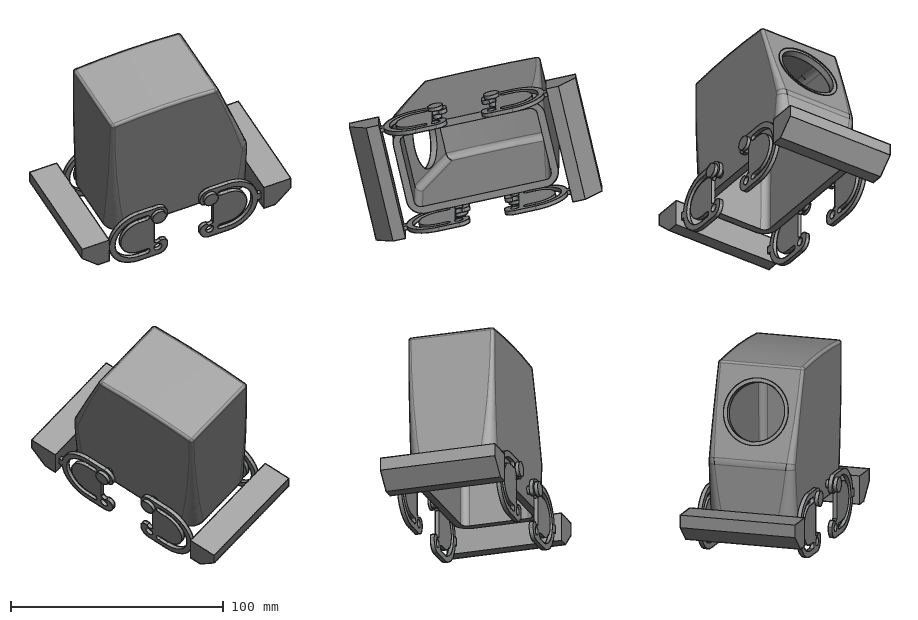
import cadquery as cq
import math


hood_half_width = 21.4
hood_base_half_length = 36.5
roof_peak_z = 71.9
roof_peak_y = -5.8
roof_radius = 327.0
front_top_y = -35.5
back_top_y = 20.2
knee = (36.2, 26.4)
knee_radius = 9.8
roof_edge_radius = 1.4
corner_radius_top = 1.5
corner_radius_growth = 6.0
front_growth_power = 2.0
rear_growth_power = 2.4
wall = 3.5
cavity_corner_radius = 3.3

entry_diameter = 28.3
entry_rim_diameter = 32.0
entry_rim_depth = 0.3
entry_y = 27.8

plate_inner_x = 23.7
plate_thickness = 2.0
plate_mid_z = -4.4
plate_radius = 15.4
plate_arc_y = 23.3
plate_end_y = 8.5
plate_notch_half_height = 6.8
notch_floor_y = 15.4
lobe_outer_radius = 4.9
lobe_inner_radius = 2.6
relief_radius = 1.7
relief_y = 13.6
relief_offset_z = 5.9
slot_outer_radius = 12.5
slot_inner_radius = 9.6
slot_tip_y = 17.8

pin_y = 13.5
pin_offset_z = plate_radius - lobe_outer_radius
pin_diameter = 4.0
head_diameter = 7.2
head_thickness = 1.7

bar_width = 57.0
bar_inner_y = 40.3
bar_outer_y = 54.5
bar_top_z = 3.7
bar_bottom_z = -10.1
bar_chamfer_z = -2.4
bar_chamfer_y = 46.3
link_height = 3.9

overlap = 1.1
cutter_overrun = 3.3

plate_outer_x = plate_inner_x + plate_thickness



def roof_z(y):
    """Height of the domed roof."""
    drop = roof_radius - math.sqrt(roof_radius ** 2 - (y - roof_peak_y) ** 2)
    return roof_peak_z - drop


def point_along(start, end, distance):
    share = distance / math.dist(start, end)
    return tuple(a + share * (b - a) for a, b in zip(start, end))


front_base = (-hood_base_half_length, 0)
front_top = (front_top_y, roof_z(front_top_y))
back_base = (hood_base_half_length, 0)
back_top = (back_top_y, roof_z(back_top_y))

lower_slope = math.atan2(back_base[0] - knee[0], knee[1] - back_base[1])
upper_slope = math.atan2(knee[0] - back_top[0], back_top[1] - knee[1])
knee_tangent = knee_radius * math.tan((upper_slope - lower_slope) / 2)
knee_low = point_along(knee, back_base, knee_tangent)
knee_high = point_along(knee, back_top, knee_tangent)



def hood_outline(skirt=0):
    """Side outline with sloping rear wall and domed roof, whose walls reach `skirt` below the base."""
    return (
        cq.Workplane("YZ")
        .moveTo(*point_along(front_base, front_top, -skirt))
        .lineTo(*point_along(back_base, knee, -skirt))
        .lineTo(*knee)
        .lineTo(*back_top)
        .threePointArc((roof_peak_y, roof_peak_z), front_top)
        .close()
    )


def corner_section(point, slope, growth_power):
    """Outline of the material to remove at a vertical corner, square to a rear wall of that slope.

    The rounding grows towards the base, slowly at first and then faster.
    """
    depth_share = abs(1 - point[1] / roof_peak_z)
    radius = corner_radius_top + corner_radius_growth * depth_share ** growth_power
    inset = radius * (1 - math.sqrt(0.5))
    along = (0, -math.sin(slope), math.cos(slope))
    plane = cq.Plane((hood_half_width, *point), (1, 0, 0), along)
    return (
        cq.Workplane(plane)
        .moveTo(0, -radius)
        .threePointArc((-inset, -inset), (-radius, 0))
        .lineTo(-radius, overlap)
        .lineTo(overlap, overlap)
        .lineTo(overlap, -radius)
        .close()
        .val()
    )


def straight_cutter(start, end, growth_power):
    """Rounding cutter along a straight rear corner."""
    slope = math.atan2(start[0] - end[0], end[1] - start[1])
    middle = point_along(start, end, math.dist(start, end) / 2)
    sections = [corner_section(point, slope, growth_power) for point in (start, middle, end)]
    return cq.Workplane(cq.Solid.makeLoft(sections))


def knee_cutter():
    """Rounding cutter that follows the arc between the two rear walls."""
    centre_y = knee_low[0] - knee_radius * math.cos(lower_slope)
    centre_z = knee_low[1] - knee_radius * math.sin(lower_slope)
    sections = []
    for slope in (lower_slope, (lower_slope + upper_slope) / 2, upper_slope):
        y = centre_y + knee_radius * math.cos(slope)
        z = centre_z + knee_radius * math.sin(slope)
        sections.append(corner_section((y, z), slope, rear_growth_power))
    return cq.Workplane(cq.Solid.makeLoft(sections))


def front_cutter():
    """Rounding cutter for the front corner, made as a rear corner and turned to the front."""
    base = (-front_base[0], front_base[1])
    top = (-front_top[0], front_top[1])
    start = point_along(base, top, -overlap)
    end = point_along(top, base, -cutter_overrun)
    return straight_cutter(start, end, front_growth_power).mirror("XZ")


def hood_shell():
    outside = hood_outline().extrude(hood_half_width, both=True)
    outside = outside.edges(cq.selectors.NearestToPointSelector((0, *knee))).fillet(knee_radius)
    rear_start = point_along(back_base, knee, -overlap)
    rear_end = point_along(back_top, knee, -cutter_overrun)
    cutters = [
        front_cutter(),
        straight_cutter(rear_start, knee_low, rear_growth_power),
        knee_cutter(),
        straight_cutter(knee_high, rear_end, rear_growth_power),
    ]
    for cutter in cutters:
        outside = outside.cut(cutter).cut(cutter.mirror("YZ"))
    roof = cq.selectors.NearestToPointSelector((0, roof_peak_y, roof_peak_z))
    outside = outside.faces(roof).edges().fillet(roof_edge_radius)

    cavity = (
        hood_outline(wall + 2 * cavity_corner_radius)
        .offset2D(-wall)
        .extrude(hood_half_width - wall, both=True)
        .faces("<X or >X")
        .edges()
        .fillet(cavity_corner_radius)
    )
    return outside.cut(cavity)


def cable_entry():
    """Round opening with a shallow recessed rim, square to the sloping rear wall."""
    entry_z = knee[1] + (knee[0] - entry_y) / math.tan(upper_slope)
    inward = (0, -math.cos(upper_slope), -math.sin(upper_slope))
    wall_plane = cq.Plane((0, entry_y, entry_z), (1, 0, 0), inward)
    opening = cq.Workplane(wall_plane).circle(entry_diameter / 2).extrude(wall + overlap)
    rim = cq.Workplane(wall_plane).circle(entry_rim_diameter / 2).extrude(entry_rim_depth)
    clearance = cq.Workplane(wall_plane).circle(entry_rim_diameter / 2).extrude(-overlap)
    return opening.union(rim).union(clearance)



def plate_sketch():
    return cq.Workplane("YZ", origin=(plate_inner_x, 0, plate_mid_z))


def slot_cutter():
    """C-shaped slot: a half ring whose straight arms have round ends."""
    outer = slot_outer_radius
    inner = slot_inner_radius
    middle = (outer + inner) / 2
    arm_end_y = slot_tip_y + (outer - inner) / 2
    return (
        plate_sketch()
        .moveTo(arm_end_y, outer)
        .lineTo(plate_arc_y, outer)
        .threePointArc((plate_arc_y + outer, 0), (plate_arc_y, -outer))
        .lineTo(arm_end_y, -outer)
        .threePointArc((slot_tip_y, -middle), (arm_end_y, -inner))
        .lineTo(plate_arc_y, -inner)
        .threePointArc((plate_arc_y + inner, 0), (plate_arc_y, inner))
        .lineTo(arm_end_y, inner)
        .threePointArc((slot_tip_y, middle), (arm_end_y, outer))
        .close()
        .extrude(plate_thickness)
    )


def side_plate():
    """D-shaped plate with two pin lobes, a notch between them and a C-shaped slot."""
    plate = (
        plate_sketch()
        .moveTo(plate_end_y, plate_notch_half_height)
        .lineTo(plate_end_y, plate_radius)
        .lineTo(plate_arc_y, plate_radius)
        .threePointArc((plate_arc_y + plate_radius, 0), (plate_arc_y, -plate_radius))
        .lineTo(plate_end_y, -plate_radius)
        .lineTo(plate_end_y, -plate_notch_half_height)
        .lineTo(notch_floor_y, -plate_notch_half_height)
        .lineTo(notch_floor_y, plate_notch_half_height)
        .close()
        .extrude(plate_thickness)
    )
    for side in (1, -1):
        tip = (plate_outer_x, plate_end_y, plate_mid_z + side * plate_radius)
        heel = (plate_outer_x, plate_end_y, plate_mid_z + side * plate_notch_half_height)
        for corner, radius in ((tip, lobe_outer_radius), (heel, lobe_inner_radius)):
            nearest = cq.selectors.NearestToPointSelector(corner)
            plate = plate.edges("|X").edges(nearest).fillet(radius)
    reliefs = (
        plate_sketch()
        .pushPoints([(relief_y, relief_offset_z), (relief_y, -relief_offset_z)])
        .circle(relief_radius)
        .extrude(plate_thickness)
    )
    free_pin_hole = (
        plate_sketch()
        .center(pin_y, -pin_offset_z)
        .circle(pin_diameter / 2)
        .extrude(plate_thickness)
    )
    return plate.cut(reliefs).cut(slot_cutter()).cut(free_pin_hole)


def pivot_pin():
    """Headed pin from the hood wall through the upper lobe of the side plate."""
    pin_z = plate_mid_z + pin_offset_z
    start_x = hood_half_width - overlap
    shank = (
        cq.Workplane("YZ", origin=(start_x, pin_y, pin_z))
        .circle(pin_diameter / 2)
        .extrude(plate_outer_x - start_x)
    )
    head = (
        cq.Workplane("YZ", origin=(plate_outer_x, pin_y, pin_z))
        .circle(head_diameter / 2)
        .extrude(head_thickness)
    )
    return shank.union(head)


def plate_link():
    """Short tab that joins the side plate to the handle bar."""
    start_y = plate_arc_y + plate_radius - overlap
    length = bar_inner_y + overlap - start_y
    return (
        plate_sketch()
        .center(start_y + length / 2, 0)
        .rect(length, link_height)
        .extrude(plate_thickness)
    )


def handle_bar():
    """Full-width bar with its lower outer edge cut away at a slant."""
    return (
        cq.Workplane("YZ")
        .moveTo(bar_inner_y, bar_top_z)
        .lineTo(bar_outer_y, bar_top_z)
        .lineTo(bar_outer_y, bar_chamfer_z)
        .lineTo(bar_chamfer_y, bar_bottom_z)
        .lineTo(bar_inner_y, bar_bottom_z)
        .close()
        .extrude(bar_width / 2, both=True)
    )


def rear_lever():
    arm = side_plate().union(pivot_pin()).union(plate_link())
    return handle_bar().union(arm).union(arm.mirror("YZ"))


lever = rear_lever()
result = hood_shell().cut(cable_entry()).union(lever).union(lever.mirror("XZ"))